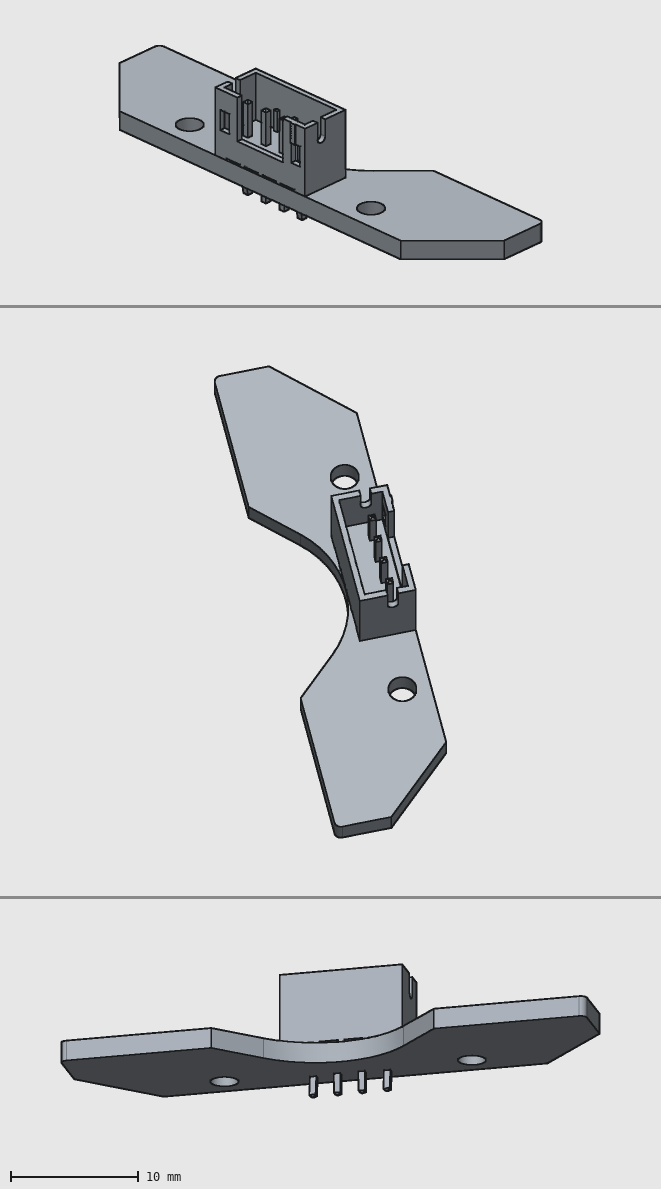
import cadquery as cq
import math

board_length = 42.5
board_depth = 10.2
board_thickness = 1.65
front_chamfer = 5.75
rear_corner_radius = 0.5
mount_hole_diameter = 2.2
mount_hole_spacing = 20.0
mount_hole_y = 2.25

cutout_half_width = 9.0
cutout_bottom_y = 4.5

housing_length = 9.9
housing_depth = 4.5
housing_height = 6.0
wall = 0.5
floor_height = 1.83
front_opening_width = 5.0
front_opening_sill = 2.12
window_width = 0.98
window_height = 1.8
window_sill = 2.42
window_spacing = 7.8
side_slot_width = 0.85
side_slot_depth = 1.9
side_slot_y = 1.83
vent_width = 1.5
vent_height = 0.15
inner_rib_width = 0.4
inner_rib_depth = 0.3
inner_rib_height = 3.65
key_rib_width = 0.5
key_rib_depth = 0.1

pin_count = 4
pin_pitch = 2.0
pin_width = 0.5
pin_y = 1.65
pin_rise = 4.97
pin_drop = 1.75
tip_length = 0.15
tip_width = 0.1
kink_offset = 0.4

housing_top = board_thickness + housing_height
rear_wall_face = housing_depth - wall
pin_top = board_thickness + pin_rise
pin_xs = [(i - (pin_count - 1) / 2) * pin_pitch for i in range(pin_count)]


def box(x_center, length, y_front, depth, z_bottom, height):
    """Upright block centred on x_center, given by its front face and its underside."""
    return (
        cq.Workplane("XY")
        .box(length, depth, height, centered=(True, False, False))
        .translate((x_center, y_front, z_bottom))
    )


def make_board():
    half = board_length / 2
    flank_foot_y = board_depth - cutout_half_width
    radius = (cutout_bottom_y - flank_foot_y) / (math.sqrt(2) - 1)
    tangent_x = radius / math.sqrt(2)
    tangent_y = flank_foot_y + tangent_x
    board = (
        cq.Workplane("XY")
        .moveTo(-half + front_chamfer, 0)
        .lineTo(half - front_chamfer, 0)
        .lineTo(half, front_chamfer)
        .lineTo(half, board_depth)
        .lineTo(cutout_half_width, board_depth)
        .lineTo(tangent_x, tangent_y)
        .threePointArc((0, cutout_bottom_y), (-tangent_x, tangent_y))
        .lineTo(-cutout_half_width, board_depth)
        .lineTo(-half, board_depth)
        .lineTo(-half, front_chamfer)
        .close()
        .extrude(board_thickness)
    )
    board = board.edges("|Z").edges("<X or >X").edges(">Y").fillet(rear_corner_radius)
    mount_holes = (
        cq.Workplane("XY")
        .pushPoints([(-mount_hole_spacing / 2, mount_hole_y), (mount_hole_spacing / 2, mount_hole_y)])
        .circle(mount_hole_diameter / 2)
        .extrude(board_thickness)
    )
    return board.cut(mount_holes)


def make_side_slot():
    """Round-bottomed slot running across both end walls."""
    radius = side_slot_width / 2
    arc_z = housing_top - side_slot_depth + radius
    return (
        cq.Workplane("YZ")
        .moveTo(side_slot_y - radius, housing_top)
        .lineTo(side_slot_y - radius, arc_z)
        .threePointArc((side_slot_y, arc_z - radius), (side_slot_y + radius, arc_z))
        .lineTo(side_slot_y + radius, housing_top)
        .close()
        .extrude(housing_length / 2, both=True)
    )


def make_housing():
    housing = box(0, housing_length, 0, housing_depth, board_thickness, housing_height)
    housing = housing.cut(
        box(0, housing_length - 2 * wall, wall, housing_depth - 2 * wall,
            board_thickness + floor_height, housing_height - floor_height)
    )
    housing = housing.cut(
        box(0, front_opening_width, 0, wall,
            board_thickness + front_opening_sill, housing_height - front_opening_sill)
    )
    window_z = board_thickness + window_sill
    for side in (-1, 1):
        housing = housing.cut(
            box(side * window_spacing / 2, window_width, 0, wall, window_z, window_height)
        )
    housing = housing.cut(make_side_slot())

    for x in pin_xs:
        housing = housing.cut(box(x, vent_width, 0, housing_depth, board_thickness, vent_height))

    for x in pin_xs[:-1]:
        housing = housing.union(
            box(x + pin_pitch / 2, inner_rib_width, rear_wall_face - inner_rib_depth, inner_rib_depth,
                board_thickness + floor_height, inner_rib_height - floor_height)
        )

    window_top = window_z + window_height
    key_rib_x = (window_spacing - window_width + key_rib_width) / 2
    return housing.union(
        box(key_rib_x, key_rib_width, -key_rib_depth, key_rib_depth, window_top, housing_top - window_top)
    )


def make_pin(x, kink):
    """Square pin with tapered tips; its leg bends forward by kink halfway through the board."""
    half = pin_width / 2
    shank_top = pin_top - tip_length
    shank_bottom = -pin_drop + tip_length
    profile = [
        (pin_y - half, shank_bottom),
        (pin_y - half - kink, board_thickness / 2),
        (pin_y - half, board_thickness),
        (pin_y - half, shank_top),
        (pin_y + half, shank_top),
        (pin_y + half, board_thickness),
        (pin_y + half - kink, board_thickness / 2),
        (pin_y + half, shank_bottom),
    ]
    pin = cq.Workplane("YZ", origin=(x, 0, 0)).polyline(profile).close().extrude(half, both=True)
    for z, direction in ((shank_top, 1), (shank_bottom, -1)):
        tip = (
            cq.Workplane("XY", origin=(x, pin_y, z))
            .rect(pin_width, pin_width)
            .workplane(offset=direction * tip_length)
            .rect(tip_width, tip_width)
            .loft(combine=True)
        )
        pin = pin.union(tip)
    return pin


def make_pins():
    """All pins in a row; only the two outermost legs are kinked."""
    outer_xs = (pin_xs[0], pin_xs[-1])
    return [make_pin(x, kink_offset if x in outer_xs else 0) for x in pin_xs]


board = make_board()
connector = make_housing()
for pin in make_pins():
    board = board.cut(pin)
    connector = connector.union(pin)

result = cq.Compound.makeCompound([board.val(), connector.val()])